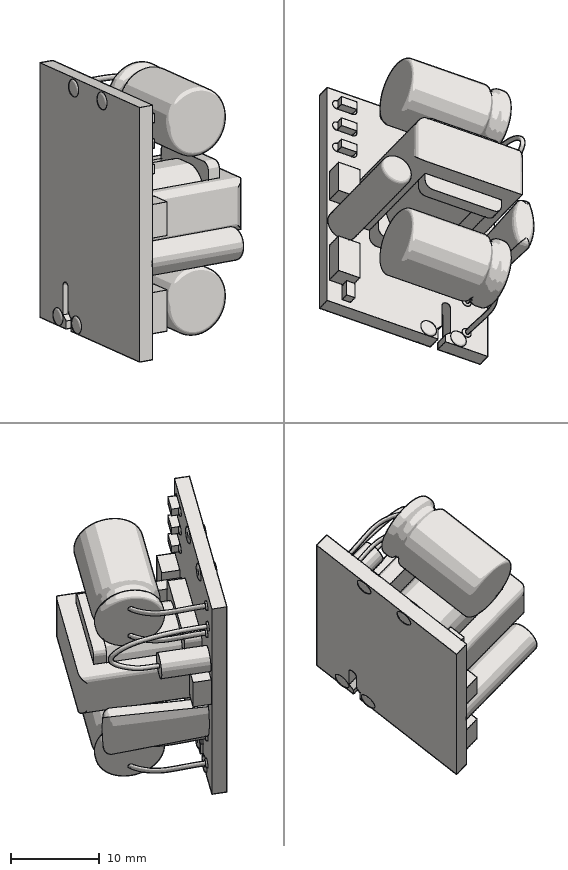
import cadquery as cq
import math


BOARD_WIDTH = 21.0
BOARD_HEIGHT = 30.0
BOARD_THICKNESS = 1.75
BOARD_BOTTOM = -BOARD_HEIGHT / 2

SLOT_WIDTH = 1.08
SLOT_X = -5.07
SLOT_TOP = -9.5
NOTCH_LEFT = -4.95
NOTCH_RIGHT = -4.0
JOG_HEIGHT = 0.57
JOG_TOP = -12.9

TERMINAL_RADIUS = 1.02
TERMINAL_TOP_RADIUS = 0.63
TERMINAL_PLACES = [(-3.35, 13.8), (2.6, 13.8), (-6.65, -13.95), (-2.75, -13.95)]
JOINT_HEIGHT = 0.18
JOINT_TOP = BOARD_THICKNESS + JOINT_HEIGHT
JOINT_RADIUS = 0.57
JOINT_TOP_RADIUS = 0.4

CAN_RADIUS = 4.0
CAN_LENGTH = 12.9
CAN_Y = 10.25
CAN_Z = 10.55
CAN_FILLET = 0.45
GROOVE_START = 0.95
GROOVE_WIDTH = 1.98
GROOVE_FLOOR = 0.35
GROOVE_DEPTH = 0.5
LEAD_RADIUS = 0.33
LEAD_SPACING = 4.35
LEAD_X = -7.7
LEAD_BEND = (-7.25, 9.05)
LEAD_START_DIRECTION = (-0.7, -0.7)

CORE_WIDTH = 13.98
CORE_TOP = 16.23
CORE_DEPTH = 6.12
CORE_ROUND = 1.0
WINDOW_WIDTH = 9.95
WINDOW_TOP = 14.22
FLANGE_SIZE = WINDOW_WIDTH
FLANGE_ROUND = 1.0
TOP_FLANGE_THICKNESS = 1.5
BASE_FLANGE_TOP = 3.75
WINDING_SIZE = 7.98
WINDING_ROUND = 3.0

FILM_X = -8.5
FILM_Z = -4.47
FILM_GAP = 0.12
FILM_TOP = 13.85
FILM_ROUND = 0.9
FILM_EDGE_WIDTH = 1.38
FILM_EDGE_BULGE = 0.18
FILM_TOP_WIDTH = 2.73
FILM_TOP_HEIGHT = 6.57
FILM_BASE_WIDTH = 2.37
FILM_BASE_HEIGHT = 5.1

RESISTOR_X = -8.5
RESISTOR_Z = 4.98
RESISTOR_RADIUS = 1.5
RESISTOR_TOP = 7.4
WIRE_RADIUS = 0.27
WIRE_BOARD_Z = 10.2
WIRE_LOOP = [(9.27, 9.48), (11.6, 8.65), (13.0, 7.15), (10.65, 5.3)]

POST_X = 8.5
POST_Z = -3.72
POST_RADIUS = 1.92
POST_TOP = 14.22
POST_ROUND = 0.55

TALL_CHIP_TOP = 3.85
LEFT_CHIP_SIZE = (1.98, 3.95)
LEFT_CHIP_PLACE = (-9.18, 1.23)
RIGHT_CHIP_SIZE = (2.75, 3.95)
RIGHT_CHIP_PLACE = (8.85, 1.23)
LOWER_CHIP_SIZE = (2.75, 4.85)
LOWER_CHIP_PLACE = (8.85, -9.6)

SMALL_CHIP_TOP = 2.75
SMALL_CHIP_LONG = 2.0
SMALL_CHIP_SHORT = 1.08
SMALL_CHIP_X = 8.22
SMALL_CHIP_ROWS = [13.0, 10.0, 7.0]
CORNER_CHIP_PLACE = (8.0, -13.15)


def back_plane(y):
    """Workplane parallel to the board whose local axes are X and Z and whose normal is -Y."""
    return cq.Workplane("XZ", origin=(0, y, 0))


def rounded_block(size, corner, y_start, y_end):
    """Square block with rounded corners, extruded away from the board."""
    block = back_plane(y_start).rect(size, size).extrude(y_start - y_end)
    return block.edges("|Y").fillet(corner)


def cylinder(x, z, radius, y_start, y_end):
    return back_plane(y_start).center(x, z).circle(radius).extrude(y_start - y_end)


def mound(x, z, base_radius, top_radius, face_y, outward):
    """Flat-topped solder mound with a bulging flank; outward is +1 for the back face, -1 for the front."""
    bulge = math.sqrt(0.5)
    top_y = outward * JOINT_HEIGHT
    flank = (top_radius + bulge * (base_radius - top_radius), bulge * top_y)
    return (
        cq.Workplane("XY", origin=(x, face_y, z))
        .lineTo(base_radius, 0)
        .threePointArc(flank, (top_radius, top_y))
        .lineTo(0, top_y)
        .close()
        .revolve(360, (0, 0, 0), (0, 1, 0))
    )


def chip(place, width, height, top):
    block = back_plane(BOARD_THICKNESS).center(*place).rect(width, height)
    return block.extrude(BOARD_THICKNESS - top)


def lead_rows(can_z):
    return [can_z - LEAD_SPACING / 2, can_z + LEAD_SPACING / 2]


def slot_cutter():
    left = SLOT_X - SLOT_WIDTH / 2
    right = SLOT_X + SLOT_WIDTH / 2
    round_start = SLOT_TOP - SLOT_WIDTH / 2
    return (
        back_plane(0)
        .moveTo(NOTCH_LEFT, BOARD_BOTTOM)
        .lineTo(NOTCH_LEFT, JOG_TOP - 2 * JOG_HEIGHT)
        .lineTo(left, JOG_TOP - JOG_HEIGHT)
        .lineTo(left, round_start)
        .threePointArc((SLOT_X, SLOT_TOP), (right, round_start))
        .lineTo(right, JOG_TOP)
        .lineTo(NOTCH_RIGHT, JOG_TOP - JOG_HEIGHT)
        .lineTo(NOTCH_RIGHT, BOARD_BOTTOM)
        .close()
        .extrude(-BOARD_THICKNESS)
    )


def solder_joints():
    """Through terminals mounded on both faces, and the joints of wires and chips on the back."""
    mounds = []
    for x, z in TERMINAL_PLACES:
        mounds.append(mound(x, z, TERMINAL_RADIUS, TERMINAL_TOP_RADIUS, 0, -1))
        mounds.append(mound(x, z, TERMINAL_RADIUS, TERMINAL_TOP_RADIUS, BOARD_THICKNESS, 1))
    places = [(LEAD_X, z) for z in lead_rows(CAN_Z) + lead_rows(-CAN_Z)]
    places.append((RESISTOR_X, WIRE_BOARD_Z))
    for z in SMALL_CHIP_ROWS:
        places.append((SMALL_CHIP_X - SMALL_CHIP_LONG / 2, z))
        places.append((SMALL_CHIP_X + SMALL_CHIP_LONG / 2, z))
    for x, z in places:
        mounds.append(mound(x, z, JOINT_RADIUS, JOINT_TOP_RADIUS, BOARD_THICKNESS, 1))
    return mounds


def resistor():
    """Upright resistor whose wire loops from its top back to the board."""
    body = cylinder(RESISTOR_X, RESISTOR_Z, RESISTOR_RADIUS, BOARD_THICKNESS, RESISTOR_TOP)
    loop = [(BOARD_THICKNESS, WIRE_BOARD_Z), *WIRE_LOOP, (RESISTOR_TOP, RESISTOR_Z)]
    path = cq.Workplane("YZ", origin=(RESISTOR_X, 0, 0)).spline(loop, tangents=[(1, 0), (-1, 0)])
    section = back_plane(BOARD_THICKNESS).center(RESISTOR_X, WIRE_BOARD_Z).circle(WIRE_RADIUS)
    return body.union(section.sweep(path))


def chips():
    parts = [
        chip(LEFT_CHIP_PLACE, *LEFT_CHIP_SIZE, TALL_CHIP_TOP),
        chip(RIGHT_CHIP_PLACE, *RIGHT_CHIP_SIZE, TALL_CHIP_TOP),
        chip(LOWER_CHIP_PLACE, *LOWER_CHIP_SIZE, TALL_CHIP_TOP),
        chip(CORNER_CHIP_PLACE, SMALL_CHIP_SHORT, SMALL_CHIP_LONG, SMALL_CHIP_TOP),
    ]
    for z in SMALL_CHIP_ROWS:
        parts.append(chip((SMALL_CHIP_X, z), SMALL_CHIP_LONG, SMALL_CHIP_SHORT, SMALL_CHIP_TOP))
    return parts


def post_capacitor():
    post = cylinder(POST_X, POST_Z, POST_RADIUS, BOARD_THICKNESS, POST_TOP)
    return post.faces(">Y").edges().fillet(POST_ROUND)


def make_board():
    """Circuit board together with the small parts soldered on it."""
    board = back_plane(0).rect(BOARD_WIDTH, BOARD_HEIGHT).extrude(-BOARD_THICKNESS)
    for part in [*solder_joints(), *chips(), resistor(), post_capacitor()]:
        board = board.union(part)
    return board.cut(slot_cutter())


def make_transformer():
    """Arched core, rounded on all its outer edges, around a flanged bobbin with its winding."""
    board_back = BOARD_THICKNESS
    core_length = CORE_TOP - board_back
    core_centre = (0, board_back + core_length / 2, 0)
    arch = cq.Workplane("XY").box(CORE_WIDTH, core_length, CORE_DEPTH).translate(core_centre)
    side_rounds = arch.edges("|Y").fillet(CORE_ROUND)
    top_rounds = arch.faces(">Y").edges("|Z").fillet(CORE_ROUND)
    window_length = WINDOW_TOP - board_back
    window_centre = (0, board_back + window_length / 2, 0)
    window = cq.Workplane("XY").box(WINDOW_WIDTH, window_length, CORE_DEPTH).translate(window_centre)
    core = side_rounds.intersect(top_rounds).cut(window)
    base = rounded_block(FLANGE_SIZE, FLANGE_ROUND, board_back, BASE_FLANGE_TOP)
    winding = rounded_block(WINDING_SIZE, WINDING_ROUND, board_back, WINDOW_TOP)
    top = rounded_block(FLANGE_SIZE, FLANGE_ROUND, WINDOW_TOP - TOP_FLANGE_THICKNESS, WINDOW_TOP)
    return core.union(base).union(winding).union(top)


def make_electrolytic(can_z):
    """Can with a rolled groove near its lead end, and two leads bent down onto their solder joints."""
    end = -CAN_LENGTH / 2
    groove_start = end + GROOVE_START
    groove_end = groove_start + GROOVE_WIDTH
    floor_start = groove_start + (GROOVE_WIDTH - GROOVE_FLOOR) / 2
    floor_end = floor_start + GROOVE_FLOOR
    floor_radius = CAN_RADIUS - GROOVE_DEPTH
    can = (
        cq.Workplane("XY")
        .moveTo(end, 0)
        .lineTo(end, CAN_RADIUS)
        .lineTo(groove_start, CAN_RADIUS)
        .spline([(floor_start, floor_radius)], tangents=[(1, 0), (1, 0)], includeCurrent=True)
        .lineTo(floor_end, floor_radius)
        .spline([(groove_end, CAN_RADIUS)], tangents=[(1, 0), (1, 0)], includeCurrent=True)
        .lineTo(-end, CAN_RADIUS)
        .lineTo(-end, 0)
        .close()
        .revolve(360, (0, 0, 0), (1, 0, 0))
        .faces("<X or >X")
        .edges()
        .fillet(CAN_FILLET)
        .translate((0, CAN_Y, can_z))
    )
    board_side = back_plane(JOINT_TOP).rect(BOARD_WIDTH, BOARD_HEIGHT).extrude(JOINT_TOP)
    bend_points = [LEAD_BEND, (LEAD_X, BOARD_THICKNESS)]
    for z in lead_rows(can_z):
        path = (
            cq.Workplane("XY", origin=(0, 0, z))
            .moveTo(end, CAN_Y)
            .spline(bend_points, tangents=[LEAD_START_DIRECTION, (0, -1)], includeCurrent=True)
        )
        lead = cq.Workplane("YZ", origin=(end, CAN_Y, z)).circle(LEAD_RADIUS).sweep(path)
        can = can.union(lead.cut(board_side))
    return can


def film_section(y, width, height):
    """Lens-like outline: two broad curved sides joined by two narrow curved edges."""
    half_edge = FILM_EDGE_WIDTH / 2
    corner = height / 2 - FILM_EDGE_BULGE
    return (
        cq.Workplane("XZ", origin=(FILM_X, y, FILM_Z))
        .moveTo(-half_edge, -corner)
        .threePointArc((0, -height / 2), (half_edge, -corner))
        .threePointArc((width / 2, 0), (half_edge, corner))
        .threePointArc((0, height / 2), (-half_edge, corner))
        .threePointArc((-width / 2, 0), (-half_edge, -corner))
        .close()
        .val()
    )


def make_film_capacitor():
    base = film_section(BOARD_THICKNESS + FILM_GAP, FILM_BASE_WIDTH, FILM_BASE_HEIGHT)
    top = film_section(FILM_TOP, FILM_TOP_WIDTH, FILM_TOP_HEIGHT)
    body = cq.Workplane(cq.Solid.makeLoft([base, top], True))
    return body.faces(">Y").edges().fillet(FILM_ROUND)


board = make_board()
transformer = make_transformer()
film_capacitor = make_film_capacitor()
electrolytics = [make_electrolytic(z) for z in (CAN_Z, -CAN_Z)]

result = cq.Compound.makeCompound(
    [board.val(), transformer.val(), film_capacitor.val(), *[can.val() for can in electrolytics]]
)